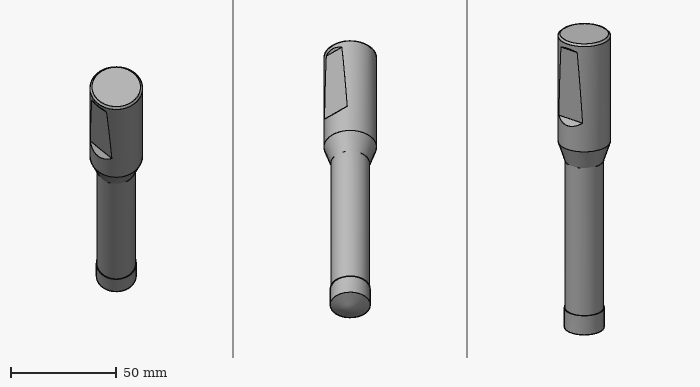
import cadquery as cq
import math


total_length = 156.5
shank_length = 56.0
taper_length = 10.0
tip_length = 10.0

shank_diameter = 25.0
neck_diameter = 18.4
tip_diameter = 19.05
tip_back_diameter = 19.0

top_chamfer = 1.0
point_angle = 140.0

flat_top_distance = 4.3
flat_bottom_distance = 41.0
flat_bottom_depth = 2.3
flat_angle = 2.0
lower_wall_angle = 41.0
upper_wall_angle = 43.0

shank_radius = shank_diameter / 2
neck_radius = neck_diameter / 2
tip_radius = tip_diameter / 2
tip_back_radius = tip_back_diameter / 2
point_height = tip_radius / math.tan(math.radians(point_angle / 2))
tip_top_z = point_height + tip_length
shank_bottom_z = total_length - shank_length
taper_bottom_z = shank_bottom_z - taper_length


def make_holder_blank():
    """Chamfered shank, conical transition and neck, turned in one piece."""
    return (
        cq.Workplane("XZ")
        .moveTo(0, tip_top_z)
        .lineTo(neck_radius, tip_top_z)
        .lineTo(neck_radius, taper_bottom_z)
        .lineTo(shank_radius, shank_bottom_z)
        .lineTo(shank_radius, total_length - top_chamfer)
        .lineTo(shank_radius - top_chamfer, total_length)
        .lineTo(0, total_length)
        .close()
        .revolve(360, (0, 0, 0), (0, 1, 0))
    )


def make_flat_cutter():
    """Prism that cuts the inclined flat and its two sloping end walls."""
    flat_length = flat_bottom_distance - flat_top_distance
    flat_top_depth = flat_bottom_depth - flat_length * math.tan(math.radians(flat_angle))
    flat_top_z = total_length - flat_top_distance
    flat_bottom_z = total_length - flat_bottom_distance
    upper_wall_height = flat_top_depth / math.tan(math.radians(upper_wall_angle))
    lower_wall_height = flat_bottom_depth / math.tan(math.radians(lower_wall_angle))
    return (
        cq.Workplane("YZ")
        .moveTo(-shank_radius, flat_top_z + upper_wall_height)
        .lineTo(-shank_radius + flat_top_depth, flat_top_z)
        .lineTo(-shank_radius + flat_bottom_depth, flat_bottom_z)
        .lineTo(-shank_radius, flat_bottom_z - lower_wall_height)
        .close()
        .extrude(shank_radius, both=True)
    )


def make_holder():
    return make_holder_blank().cut(make_flat_cutter())


def make_cutting_tip():
    """Slightly back-tapered tip with a conical point, against the neck end."""
    return (
        cq.Workplane("XZ")
        .lineTo(tip_radius, point_height)
        .lineTo(tip_back_radius, tip_top_z)
        .lineTo(0, tip_top_z)
        .close()
        .revolve(360, (0, 0, 0), (0, 1, 0))
    )


holder = make_holder()
cutting_tip = make_cutting_tip()

result = cq.Compound.makeCompound([holder.val(), cutting_tip.val()])